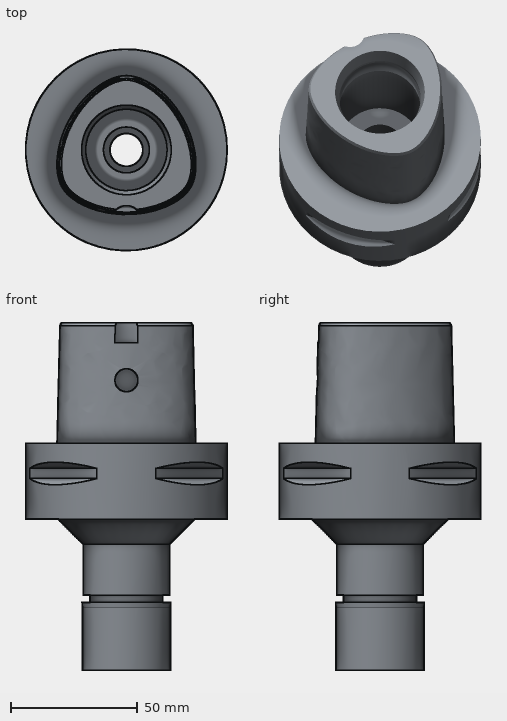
import cadquery as cq
import math

TOTAL_HEIGHT = 138.0
NUT_HEIGHT = 26.9
NECK_BOTTOM = 29.8
CONE_BOTTOM = 50.1
FLANGE_BOTTOM = 60.0
FLANGE_TOP = 90.1

FLANGE_RADIUS = 40.0
NECK_RADIUS = 17.2
RELIEF_RADIUS = 14.5
CONE_TOP_RADIUS = NECK_RADIUS + (FLANGE_BOTTOM - CONE_BOTTOM)

LOBE_MEAN_RADIUS = 27.6
LOBE_HEIGHT = 2.0
TAPER = 1 / 40
TIP_CHAMFER_WIDTH = 0.7
TIP_CHAMFER_HEIGHT = 1.2
LOBE_POINTS = 72

MOUTH_RADIUS = 17.8
BORE_RADIUS = 16.1
GROOVE_RADIUS = 18.8
MOUTH_DEPTH = 6.5
LIP_DEPTH = 8.0
GROOVE_DEPTH = 13.1
GROOVE_CONE_DEPTH = 16.7
BORE_DEPTH = 55.2
COLLET_BORE_RADIUS = 9.1

NOTCH_RADIUS = 5.7
NOTCH_INNER_Y = -22.1
NOTCH_DEPTH = 8.0
SIDE_HOLE_RADIUS = 4.5
SIDE_HOLE_Z = 115.1
SIDE_HOLE_FLOOR_Y = -16.5

SLOT_COUNT = 4
SLOT_FLOOR_DISTANCE = 35.3
SLOT_Z = 78.1
SLOT_FLOOR_HEIGHT = 4.0
SLOT_MOUTH_HEIGHT = 9.0

NUT_RADIUS = 17.5
NUT_RIM_RADIUS = 17.7
NUT_RIM_HEIGHT = 2.0
NUT_BORE_RADIUS = 6.5


def revolve(profile):
    """Turn a closed (radius, z) profile about the Z axis."""
    return cq.Workplane("XZ").polyline(profile).close().revolve(360, (0, 0), (0, 1))


def lobe_wire(mean_radius, z):
    """Three-lobed curve at height z, with one lobe pointing to +Y."""
    def point(t):
        angle = math.tau * t
        along = (mean_radius * math.cos(angle) + 2 * LOBE_HEIGHT * math.cos(2 * angle)
                 - LOBE_HEIGHT * math.cos(4 * angle))
        across = (mean_radius * math.sin(angle) - 2 * LOBE_HEIGHT * math.sin(2 * angle)
                  - LOBE_HEIGHT * math.sin(4 * angle))
        return cq.Vector(-across, along, z)

    points = [point(i / LOBE_POINTS) for i in range(LOBE_POINTS)]
    return cq.Wire.assembleEdges([cq.Edge.makeSpline(points, periodic=True)])


def make_lobed_shank():
    """Tapered lobed shank with a chamfered tip."""
    chamfer_z = TOTAL_HEIGHT - TIP_CHAMFER_HEIGHT
    chamfer_radius = LOBE_MEAN_RADIUS - TAPER * (chamfer_z - FLANGE_TOP)
    base = lobe_wire(LOBE_MEAN_RADIUS, FLANGE_TOP)
    shoulder = lobe_wire(chamfer_radius, chamfer_z)
    tip = lobe_wire(chamfer_radius - TIP_CHAMFER_WIDTH, TOTAL_HEIGHT)
    return cq.Workplane(cq.Solid.makeLoft([base, shoulder, tip], True))


def make_turned_body():
    """Flange, cone, neck and relief turned below the lobed shank."""
    return revolve([
        (0, FLANGE_TOP),
        (FLANGE_RADIUS, FLANGE_TOP),
        (FLANGE_RADIUS, FLANGE_BOTTOM),
        (CONE_TOP_RADIUS, FLANGE_BOTTOM),
        (NECK_RADIUS, CONE_BOTTOM),
        (NECK_RADIUS, NECK_BOTTOM),
        (RELIEF_RADIUS, NECK_BOTTOM),
        (RELIEF_RADIUS, NUT_HEIGHT),
        (0, NUT_HEIGHT),
    ])


def make_bore():
    """Tapered mouth, lip, clamping groove, main bore and narrower through bore."""
    return revolve([
        (0, TOTAL_HEIGHT),
        (MOUTH_RADIUS, TOTAL_HEIGHT),
        (BORE_RADIUS, TOTAL_HEIGHT - MOUTH_DEPTH),
        (BORE_RADIUS, TOTAL_HEIGHT - LIP_DEPTH),
        (GROOVE_RADIUS, TOTAL_HEIGHT - LIP_DEPTH),
        (GROOVE_RADIUS, TOTAL_HEIGHT - GROOVE_DEPTH),
        (BORE_RADIUS, TOTAL_HEIGHT - GROOVE_CONE_DEPTH),
        (BORE_RADIUS, TOTAL_HEIGHT - BORE_DEPTH),
        (COLLET_BORE_RADIUS, TOTAL_HEIGHT - BORE_DEPTH),
        (COLLET_BORE_RADIUS, NUT_HEIGHT),
        (0, NUT_HEIGHT),
    ])


def make_key_notch():
    """Round-backed notch in the flat side of the shank tip."""
    return (
        cq.Workplane("XY", origin=(0, NOTCH_INNER_Y - NOTCH_RADIUS, TOTAL_HEIGHT))
        .circle(NOTCH_RADIUS)
        .extrude(-NOTCH_DEPTH)
    )


def make_side_hole():
    """Blind round hole entering the shank from -Y."""
    return (
        cq.Workplane("XZ", origin=(0, SIDE_HOLE_FLOOR_Y, SIDE_HOLE_Z))
        .circle(SIDE_HOLE_RADIUS)
        .extrude(FLANGE_RADIUS + SIDE_HOLE_FLOOR_Y)
    )


def make_gripper_slot(angle):
    """Straight slot with sloping walls, cut across the flange rim at the given angle."""
    half_floor = SLOT_FLOOR_HEIGHT / 2
    half_mouth = SLOT_MOUTH_HEIGHT / 2
    profile = [
        (SLOT_FLOOR_DISTANCE, SLOT_Z - half_floor),
        (FLANGE_RADIUS, SLOT_Z - half_mouth),
        (FLANGE_RADIUS, SLOT_Z + half_mouth),
        (SLOT_FLOOR_DISTANCE, SLOT_Z + half_floor),
    ]
    slot = cq.Workplane("XZ").polyline(profile).close().extrude(FLANGE_RADIUS, both=True)
    return slot.rotate((0, 0, 0), (0, 0, 1), angle)


def make_holder():
    holder = make_turned_body().union(make_lobed_shank())
    holder = holder.cut(make_bore()).cut(make_key_notch()).cut(make_side_hole())
    slot_pitch = 360 / SLOT_COUNT
    for i in range(SLOT_COUNT):
        holder = holder.cut(make_gripper_slot((i + 0.5) * slot_pitch))
    return holder


def make_nut():
    """Clamping nut with a slightly flared upper rim and a through bore."""
    return revolve([
        (NUT_BORE_RADIUS, 0),
        (NUT_RADIUS, 0),
        (NUT_RADIUS, NUT_HEIGHT - NUT_RIM_HEIGHT),
        (NUT_RIM_RADIUS, NUT_HEIGHT),
        (NUT_BORE_RADIUS, NUT_HEIGHT),
    ])


holder = make_holder()
nut = make_nut()
result = cq.Compound.makeCompound([holder.val(), nut.val()])